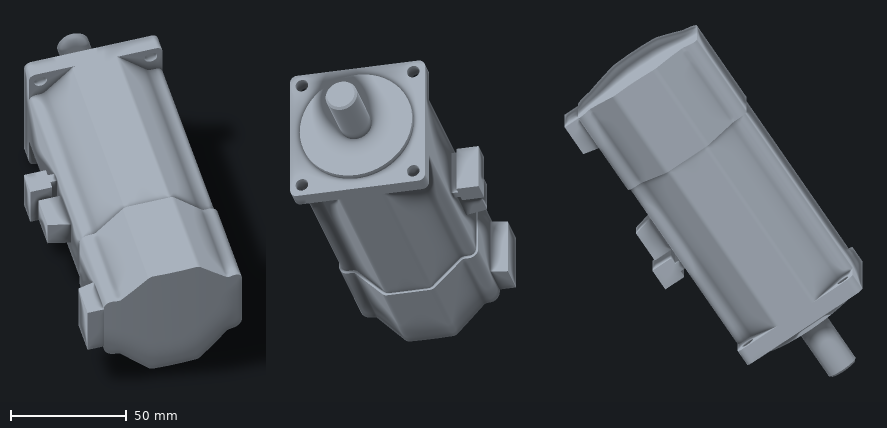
import cadquery as cq

length = 161.5
boss_front = 26.8
flange_front = 29.7
flange_back = 37.1
cover_front = 120.3

shaft_diameter = 14.0
shaft_chamfer = 1.0
boss_diameter = 50.0
flange_size = 60.0
flange_corner_radius = 3.0
hole_diameter = 5.7
hole_spacing = 49.5

frame_half = flange_size / 2
shoulder_height = 16.3
slope_sum = 39.9
side_radius = 3.0
ledge_radius = 3.4
crest_radius = 2.7

cover_step = 1.0
cover_half = frame_half + cover_step
cover_shoulder_height = 17.6
cover_slope_sum = 41.8
cover_side_radius = side_radius + cover_step
cover_ledge_radius = 2.1
cover_crest_radius = 3.2
back_radius = 169.5

plug_front = 74.0
plug_length = 10.0
plug_half_height = 10.0
plug_inner = 33.0
plug_outer = 42.8
neck_length = 4.0
socket_front = 86.4
socket_base_length = 16.8
socket_outer_length = 14.4
socket_half_height = 6.1
socket_outer = 39.9
rear_socket_front = 142.3
rear_socket_back = 158.3
rear_socket_taper = 1.6
rear_socket_half_height = 12.5
rear_socket_outer = 38.3


def octagonal_bar(start, end, half, shoulder, slope, corner_radius, ledge_round, crest_round):
    """Square bar with four sloped corners, each with a ledge beside the slope."""
    quarter = [(half, shoulder), (slope - shoulder, shoulder), (slope - half, half)]
    upper = quarter + [(-y, z) for y, z in reversed(quarter)]
    lower = [(-y, -z) for y, z in upper]
    bar = (
        cq.Workplane("YZ", origin=(start, 0, 0))
        .polyline(upper + lower)
        .close()
        .extrude(end - start)
    )
    middle = (start + end) / 2
    for (y, z), radius in zip(quarter, (corner_radius, ledge_round, crest_round)):
        for side in (-1, 1):
            for level in (-1, 1):
                corner = cq.selectors.NearestToPointSelector((middle, side * y, level * z))
                bar = bar.edges("|X").edges(corner).fillet(radius)
    return bar


def make_flange():
    flange = (
        cq.Workplane("YZ", origin=(flange_front, 0, 0))
        .rect(flange_size, flange_size)
        .extrude(flange_back - flange_front)
        .edges("|X")
        .fillet(flange_corner_radius)
    )
    boss = (
        cq.Workplane("YZ", origin=(boss_front, 0, 0))
        .circle(boss_diameter / 2)
        .extrude(flange_front - boss_front)
    )
    holes = (
        cq.Workplane("YZ", origin=(flange_front, 0, 0))
        .rect(hole_spacing, hole_spacing, forConstruction=True)
        .vertices()
        .circle(hole_diameter / 2)
        .extrude(flange_back - flange_front)
    )
    return flange.union(boss).cut(holes)


def make_cover():
    cover = octagonal_bar(
        cover_front, length, cover_half, cover_shoulder_height, cover_slope_sum,
        cover_side_radius, cover_ledge_radius, cover_crest_radius,
    )
    dome = (
        cq.Workplane("XY", origin=(length - back_radius, 0, 0))
        .circle(back_radius)
        .extrude(cover_half, both=True)
    )
    return cover.intersect(dome)


def connector(outline, half_height):
    """Connector block with the given XY outline, centred on the motor axis in Z."""
    return cq.Workplane("XY").polyline(outline).close().extrude(half_height, both=True)


def make_plug():
    plug_back = plug_front + plug_length
    neck_front = plug_front + (plug_length - neck_length) / 2
    neck_back = neck_front + neck_length
    outline = [
        (neck_front, -frame_half),
        (neck_front, -plug_inner),
        (plug_front, -plug_inner),
        (plug_front, -plug_outer),
        (plug_back, -plug_outer),
        (plug_back, -plug_inner),
        (neck_back, -plug_inner),
        (neck_back, -frame_half),
    ]
    return connector(outline, plug_half_height)


def make_socket():
    outline = [
        (socket_front, -frame_half),
        (socket_front, -socket_outer),
        (socket_front + socket_outer_length, -socket_outer),
        (socket_front + socket_base_length, -frame_half),
    ]
    return connector(outline, socket_half_height)


def make_rear_socket():
    outline = [
        (rear_socket_front, -cover_half),
        (rear_socket_front + rear_socket_taper, -rear_socket_outer),
        (rear_socket_back, -rear_socket_outer),
        (rear_socket_back, -cover_half),
    ]
    return connector(outline, rear_socket_half_height)


def make_housing():
    frame = octagonal_bar(
        flange_back, cover_front, frame_half, shoulder_height, slope_sum,
        side_radius, ledge_radius, crest_radius,
    )
    housing = make_flange().union(frame).union(make_cover())
    return housing.union(make_plug()).union(make_socket()).union(make_rear_socket())


def make_shaft():
    """Plain shaft whose inner end rests on the boss face."""
    return (
        cq.Workplane("YZ")
        .circle(shaft_diameter / 2)
        .extrude(boss_front)
        .faces("<X")
        .chamfer(shaft_chamfer)
    )


housing = make_housing()
shaft = make_shaft()
result = cq.Compound.makeCompound([housing.solids().val(), shaft.solids().val()])